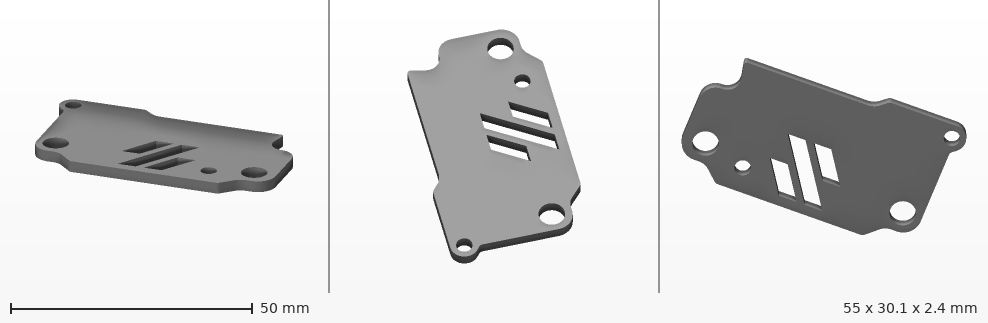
import cadquery as cq
import math

length = 54.95
width = 30.15
thickness = 2.4

left_wall = 2.2
upper_edge = 27.9
shoulder_edge = 20.5
lower_edge = 3.4
mid_x = (left_wall + length) / 2

ear_radius = 2.95
ear_neck_angle = math.radians(40)
ear_neck_radius = 1.1
ear_corner_x = ear_radius - ear_radius / math.tan(ear_neck_angle / 2)
ear_neck_bottom = width - (left_wall - ear_corner_x) * math.tan(ear_neck_angle)

step_start = 17.9
step_end = 20.6
step_outer_radius = 1.1
step_inner_radius = 3.85

notch_top = 49.25
notch_bottom = 47.7
notch_tip_radius = 0.55
notch_inner_radius = 2.95
shoulder_radius = 3.45

tab_half_width = 16.3
tab_root_half_width = 20.0
tab_tip_radius = 1.1
tab_root_radius = 3.3
lower_corner_radius = 3.85

small_hole_diameter = 3.4
large_hole_diameter = 5.5
large_hole_xs = (6.3, 50.1)
large_hole_y = 7.7
extra_hole = (40.9, 5.35)

slot_width = 3.95
slot_pitch = 5.7
slot_lean = 0.66
slot_bottom = 2.15
slot_top = 15.9
short_slot_height = 7.3
middle_slot_x = 22.0


def rounded_outline(corners):
    """Closed wire through (x, y, radius) corners, each rounded by a tangent arc."""
    arcs = []
    for i, (x, y, radius) in enumerate(corners):
        corner = cq.Vector(x, y)
        before = cq.Vector(*corners[i - 1][:2])
        after = cq.Vector(*corners[(i + 1) % len(corners)][:2])
        to_before = (before - corner).normalized()
        to_after = (after - corner).normalized()
        half_angle = to_before.getAngle(to_after) / 2
        setback = radius / math.tan(half_angle)
        depth = radius / math.sin(half_angle) - radius
        bisector = (to_before + to_after).normalized()
        start = corner + to_before * setback
        middle = corner + bisector * depth
        end = corner + to_after * setback
        arcs.append((start, middle, end))

    outline = cq.Workplane("XY").moveTo(arcs[0][0].x, arcs[0][0].y)
    for i, (start, middle, end) in enumerate(arcs):
        if i > 0:
            outline = outline.lineTo(start.x, start.y)
        outline = outline.threePointArc((middle.x, middle.y), (end.x, end.y))
    return outline.close()


def slanted_slot(x, bottom, top):
    """Cutter with horizontal ends whose lower left corner is at (x, bottom)."""
    shift = slot_lean * (top - bottom)
    corners = [
        (x, bottom),
        (x + slot_width, bottom),
        (x + slot_width + shift, top),
        (x + shift, top),
    ]
    return cq.Workplane("XY").polyline(corners).close().extrude(thickness)


def round_holes(diameter, centers):
    """Cutters for through holes of one diameter."""
    return cq.Workplane("XY").pushPoints(centers).circle(diameter / 2).extrude(thickness)


plate = rounded_outline([
    (ear_corner_x, width, ear_radius),
    (step_start, width, step_outer_radius),
    (step_end, upper_edge, step_inner_radius),
    (notch_top, upper_edge, notch_tip_radius),
    (notch_bottom, shoulder_edge, notch_inner_radius),
    (length, shoulder_edge, shoulder_radius),
    (length, lower_edge, lower_corner_radius),
    (mid_x + tab_root_half_width, lower_edge, tab_root_radius),
    (mid_x + tab_half_width, 0, tab_tip_radius),
    (mid_x - tab_half_width, 0, tab_tip_radius),
    (mid_x - tab_root_half_width, lower_edge, tab_root_radius),
    (left_wall, lower_edge, lower_corner_radius),
    (left_wall, ear_neck_bottom, ear_neck_radius),
]).extrude(thickness)

ear_hole = (ear_radius, width - ear_radius)
large_holes = [(x, large_hole_y) for x in large_hole_xs]
plate = plate.cut(round_holes(small_hole_diameter, [ear_hole, extra_hole]))
plate = plate.cut(round_holes(large_hole_diameter, large_holes))

upper_slot_bottom = slot_top - short_slot_height
upper_slot_x = middle_slot_x - slot_pitch + slot_lean * (upper_slot_bottom - slot_bottom)
plate = plate.cut(slanted_slot(upper_slot_x, upper_slot_bottom, slot_top))
plate = plate.cut(slanted_slot(middle_slot_x, slot_bottom, slot_top))
lower_slot_top = slot_bottom + short_slot_height
plate = plate.cut(slanted_slot(middle_slot_x + slot_pitch, slot_bottom, lower_slot_top))

result = plate